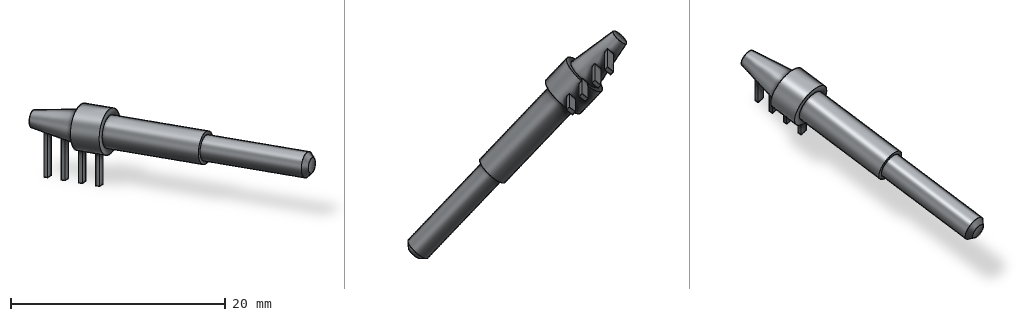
import cadquery as cq

total_length = 29.0
cone_length = 5.0
collar_length = 3.0
barrel_length = 10.0

tip_diameter = 1.7
cone_base_diameter = 3.4
collar_diameter = 4.5
barrel_diameter = 3.2
rod_diameter = 2.5
rod_chamfer = 0.5

pin_count = 4
pin_first_x = 1.5
pin_pitch = 1.8
pin_thickness = 0.4
pin_width = 0.75
total_height = 7.7
pin_depth = total_height - collar_diameter / 2

collar_start = cone_length
barrel_start = collar_start + collar_length
rod_start = barrel_start + barrel_length


def make_body():
    """Revolve the stepped half profile around the X axis."""
    rod_radius = rod_diameter / 2
    profile = [
        (0, 0),
        (0, tip_diameter / 2),
        (collar_start, cone_base_diameter / 2),
        (collar_start, collar_diameter / 2),
        (barrel_start, collar_diameter / 2),
        (barrel_start, barrel_diameter / 2),
        (rod_start, barrel_diameter / 2),
        (rod_start, rod_radius),
        (total_length - rod_chamfer, rod_radius),
        (total_length, rod_radius - rod_chamfer),
        (total_length, 0),
    ]
    return cq.Workplane("XY").polyline(profile).close().revolve(360, (0, 0, 0), (1, 0, 0))


def make_pin(x):
    """Pin centred on x, running from the body axis down to its free end."""
    return (
        cq.Workplane("XY")
        .center(x, 0)
        .rect(pin_thickness, pin_width)
        .extrude(-pin_depth)
    )


result = make_body()
for index in range(pin_count):
    result = result.union(make_pin(pin_first_x + index * pin_pitch))